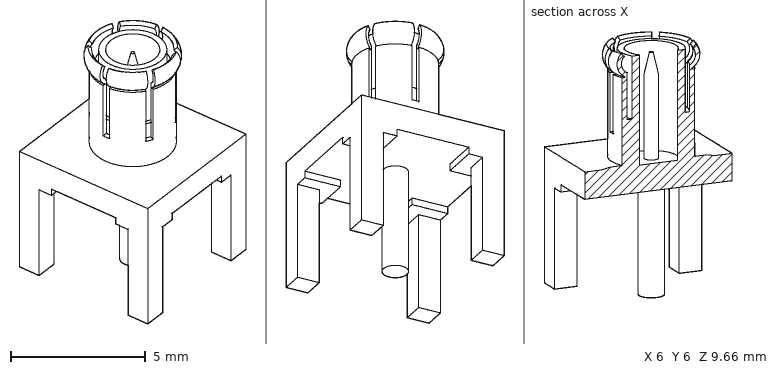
import cadquery as cq
import math

base_width = 6.0
base_top = 5.26
recess_ceiling = 4.19
leg_width = 0.92
pad_width = 1.5
pad_bottom = 3.91

rim_height = 0.07
rim_inner_radius = 1.95
rim_outer_radius = 2.52
rim_blend_run = 0.2

barrel_radius = 1.62
barrel_bore_radius = 1.42
barrel_top = 8.72
bead_center_height = 9.25
bead_max_radius = 1.82
bead_arc_radius = 0.6
total_height = 9.66
mouth_radius = 1.53
mouth_depth = 0.13

slot_count = 6
slot_width = 0.29
slot_bottom = 6.43
gap_floor = 7.08

sleeve_radius = 1.27
sleeve_bore_radius = 1.0
sleeve_top = 9.515

tail_radius = 0.49
contact_radius = 0.27
contact_tip_radius = 0.07
contact_tip_height = 9.37
contact_cone_length = 0.87


def cylinder(radius, bottom, top):
    return cq.Workplane("XY").workplane(offset=bottom).circle(radius).extrude(top - bottom)


def square_block(width, bottom, top):
    return cq.Workplane("XY").workplane(offset=bottom).rect(width, width).extrude(top - bottom)


def revolve_about_z(profile):
    return profile.close().revolve(360, (0, 0, 0), (0, 1, 0))


def make_base():
    body = square_block(base_width, recess_ceiling, base_top)
    for width, bottom in ((pad_width, pad_bottom), (leg_width, 0)):
        offset = (base_width - width) / 2
        corners = [(x, y) for x in (-offset, offset) for y in (-offset, offset)]
        posts = (
            cq.Workplane("XY")
            .workplane(offset=bottom)
            .pushPoints(corners)
            .rect(width, width)
            .extrude(recess_ceiling - bottom)
        )
        body = body.union(posts)
    return body


def make_rim():
    """Low disc whose edge is a convex arc, a cone and a concave arc, all tangent."""
    run = rim_outer_radius - rim_inner_radius
    slope = math.atan(rim_height / (run - rim_blend_run))
    arc_drop = rim_blend_run * math.tan(slope / 2)
    mid_arc_drop = arc_drop / 4
    rim_top = base_top + rim_height
    cone_start = rim_inner_radius + rim_blend_run
    cone_end = rim_outer_radius - rim_blend_run
    profile = (
        cq.Workplane("XZ")
        .moveTo(0, base_top)
        .lineTo(0, rim_top)
        .lineTo(rim_inner_radius, rim_top)
        .threePointArc(
            (rim_inner_radius + rim_blend_run / 2, rim_top - mid_arc_drop),
            (cone_start, rim_top - arc_drop),
        )
        .lineTo(cone_end, base_top + arc_drop)
        .threePointArc(
            (rim_outer_radius - rim_blend_run / 2, base_top + mid_arc_drop),
            (rim_outer_radius, base_top),
        )
    )
    return revolve_about_z(profile)


def arc_reach(arc_radius, offset):
    """Distance from the arc center to the arc along one axis, at an offset along the other."""
    return math.sqrt(arc_radius**2 - offset**2)


def make_barrel():
    """Barrel whose bead has an outer arc and a concentric hollow arc on its inside."""
    center_radius = bead_max_radius - bead_arc_radius
    bead_bottom_radius = center_radius + arc_reach(bead_arc_radius, bead_center_height - barrel_top)
    bead_top_radius = center_radius + arc_reach(bead_arc_radius, total_height - bead_center_height)
    mouth_height = total_height - mouth_depth
    hollow_arc_radius = math.hypot(mouth_radius - center_radius, mouth_height - bead_center_height)
    hollow_bottom = bead_center_height - arc_reach(hollow_arc_radius, barrel_bore_radius - center_radius)
    profile = (
        cq.Workplane("XZ")
        .moveTo(0, base_top)
        .lineTo(barrel_radius, base_top)
        .lineTo(barrel_radius, barrel_top)
        .lineTo(bead_bottom_radius, barrel_top)
        .threePointArc((bead_max_radius, bead_center_height), (bead_top_radius, total_height))
        .lineTo(mouth_radius, mouth_height)
        .threePointArc(
            (center_radius + hollow_arc_radius, bead_center_height),
            (barrel_bore_radius, hollow_bottom),
        )
        .lineTo(barrel_bore_radius, gap_floor)
        .lineTo(0, gap_floor)
    )
    return revolve_about_z(profile)


def make_slots():
    """Radial slots, each bar crossing the whole barrel, reaching inward to the bore of the barrel."""
    slots = cq.Workplane("XY")
    for index in range(slot_count // 2):
        bar = (
            cq.Workplane("XY")
            .workplane(offset=slot_bottom)
            .rect(slot_width, base_width)
            .extrude(total_height - slot_bottom)
            .rotate((0, 0, 0), (0, 0, 1), index * 360 / slot_count)
        )
        slots = slots.add(bar)
    core = cylinder(barrel_bore_radius, slot_bottom, total_height)
    return slots.combine().cut(core)


def make_contact():
    cone_bottom = contact_tip_height - contact_cone_length
    profile = (
        cq.Workplane("XZ")
        .moveTo(0, base_top)
        .lineTo(contact_radius, base_top)
        .lineTo(contact_radius, cone_bottom)
        .lineTo(contact_tip_radius, contact_tip_height)
        .lineTo(0, contact_tip_height)
    )
    return revolve_about_z(profile)


result = (
    make_base()
    .union(make_rim())
    .union(make_barrel())
    .cut(make_slots())
    .union(cylinder(sleeve_radius, base_top, sleeve_top))
    .cut(cylinder(sleeve_bore_radius, base_top, sleeve_top))
    .union(make_contact())
    .union(cylinder(tail_radius, 0, recess_ceiling))
)